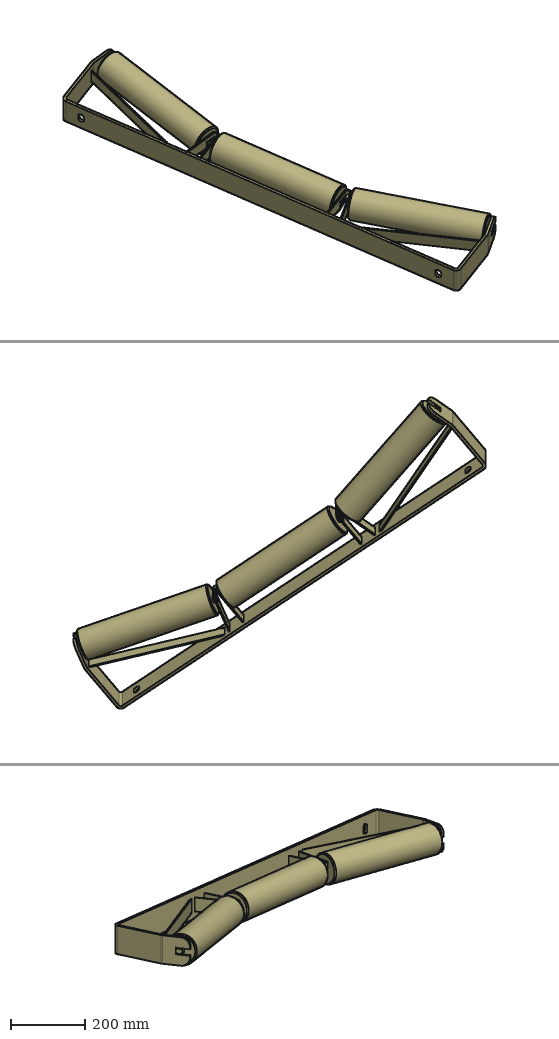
import cadquery as cq
import math



frame_length = 1240.0
strip_height = 80.0
frame_thickness = 8.0
frame_bend_radius = 10.0
tip_bend_y = 159.0
tip_length = 80.0
tip_corner_radius = 25.0
bolt_slot_x = 558.0
bolt_slot_width = 19.0
bolt_slot_height = 27.0

roller_diameter = 89.0
roller_length = 381.0
roller_edge_chamfer = 4.0
shaft_diameter = 20.0
shaft_flat_thickness = 14.0
shaft_shoulder = 2.0
centre_roller_y = 99.0
wing_roller_x = 409.0
wing_roller_y = 155.0
wing_angle = 15.0
wing_tilt = 1.0

brace_height = 40.0

bracket_thickness = 4.0
bracket_leg_x = 198.0
bracket_bend_radius = 9.0
bracket_bend_y = 115.0

strut_angle = 21.9
strut_foot_x = 245.0
strut_thickness = 4.0

shaft_slot_width = 19.0
shaft_slot_length = 75.0

half_length = frame_length / 2
wing_sin = math.sin(math.radians(wing_angle))
wing_cos = math.cos(math.radians(wing_angle))
wing_tan = wing_sin / wing_cos
wing_end_drop = roller_length / 2 * math.sin(math.radians(wing_tilt))
wing_roller_z = -wing_end_drop
centre_roller_z = -2 * wing_end_drop
centre_shaft_reach = bracket_leg_x + bracket_thickness / 2
outer_shaft_reach = (half_length - wing_roller_x) * wing_cos + (tip_bend_y - wing_roller_y) * wing_sin
bracket_bend_x = bracket_leg_x + bracket_bend_radius
inner_shaft_reach = (
    (wing_roller_x - bracket_bend_x) * wing_cos
    + (wing_roller_y - bracket_bend_y) * wing_sin
    - bracket_bend_radius + bracket_thickness / 2
)


def bent_strip(points, radius, thickness, height):
    """Strip of the given thickness along a bent centre line, centred on Z = 0."""
    path = cq.Wire.makePolygon([cq.Vector(x, y, 0) for x, y in points]).fillet(radius)
    start = cq.Vector(*points[0], 0)
    heading = cq.Vector(*points[1], 0) - start
    section_plane = cq.Plane(origin=start, xDir=(0, 0, 1), normal=heading)
    return cq.Workplane(section_plane).rect(height, thickness).sweep(cq.Workplane(path))


def inside_frame(body):
    """Trim a body to the space inside the back bar and the frame sides."""
    inner_length = frame_length - 2 * frame_thickness
    space = cq.Workplane().box(inner_length, half_length, 2 * strip_height)
    return body.intersect(space.translate((0, frame_thickness + half_length / 2, 0)))


def mirrored(body):
    """Copy of a left-hand body on the right-hand side."""
    return body.mirror("YZ")


def place_on_wing(body):
    """Move a body lying along X at the origin onto the axis of the left wing roller."""
    body = body.rotate((0, 0, 0), (0, 1, 0), wing_tilt)
    body = body.rotate((0, 0, 0), (0, 0, 1), -wing_angle)
    return body.translate((-wing_roller_x, wing_roller_y, wing_roller_z))


def place_on_centre(body):
    """Move a body lying along X at the origin onto the axis of the centre roller."""
    return body.translate((0, centre_roller_y, centre_roller_z))


def roller(left_reach, right_reach):
    """Roller along X with a flatted shaft that reaches past both of its ends."""
    barrel = cq.Workplane("YZ").circle(roller_diameter / 2).extrude(roller_length)
    barrel = barrel.edges("%CIRCLE").chamfer(roller_edge_chamfer).translate((-roller_length / 2, 0, 0))

    round_length = roller_length + 2 * shaft_shoulder
    round_shaft = cq.Workplane("YZ").circle(shaft_diameter / 2).extrude(round_length)
    round_shaft = round_shaft.translate((-round_length / 2, 0, 0))

    flatted_length = left_reach + right_reach
    flatted_shaft = cq.Workplane("YZ").circle(shaft_diameter / 2).extrude(flatted_length)
    flats = cq.Workplane("YZ").rect(shaft_diameter, shaft_flat_thickness).extrude(flatted_length)
    flatted_shaft = flatted_shaft.intersect(flats).translate((-left_reach, 0, 0))
    return barrel.union(round_shaft).union(flatted_shaft)


def shaft_slot(start, end):
    """Cutter along X whose floor carries the shaft, open toward +Y."""
    size = (end - start, shaft_slot_length, shaft_slot_width)
    cutter = cq.Workplane().box(*size, centered=(False, False, True))
    return cutter.translate((start, -shaft_diameter / 2, 0))


past_bend = 2 * bracket_bend_radius - bracket_thickness
outer_slot = place_on_wing(shaft_slot(-outer_shaft_reach - frame_thickness, -roller_length / 2))
inner_slot = place_on_wing(shaft_slot(roller_length / 2, inner_shaft_reach + past_bend))
centre_slot = place_on_centre(shaft_slot(-centre_shaft_reach - past_bend, -roller_length / 2))


def make_frame():
    """Bent frame, running from the left tip along the back bar to the right tip."""
    mid_x = half_length - frame_thickness / 2
    mid_y = frame_thickness / 2
    tip_x = mid_x - tip_length * wing_sin
    tip_y = tip_bend_y + tip_length * wing_cos
    left_side = [(-tip_x, tip_y), (-mid_x, tip_bend_y), (-mid_x, mid_y)]
    right_side = [(-x, y) for x, y in reversed(left_side)]
    frame = bent_strip(left_side + right_side, frame_bend_radius, frame_thickness, strip_height)

    tip_region = cq.selectors.BoxSelector(
        (-half_length, tip_y - frame_thickness, -strip_height),
        (half_length, tip_y + frame_thickness, strip_height),
    )
    frame = frame.faces(tip_region).edges("#Z").fillet(tip_corner_radius)

    bolt_slots = (
        cq.Workplane("XZ")
        .pushPoints([(-bolt_slot_x, 0), (bolt_slot_x, 0)])
        .slot2D(bolt_slot_height, bolt_slot_width, 90)
        .extrude(-frame_thickness)
    )
    return frame.cut(bolt_slots).cut(outer_slot).cut(mirrored(outer_slot))


def make_bracket():
    """Left inner bracket: one leg square to the centre roller, the other to the wing roller.

    Both feet start inside the back bar and are trimmed flush with its face.
    """
    slanted_x = bracket_bend_x + bracket_bend_radius / wing_cos + bracket_bend_y * wing_tan
    peak_y = (slanted_x - bracket_leg_x) / wing_tan
    foot_y = -frame_thickness
    points = [
        (-slanted_x + foot_y * wing_tan, foot_y),
        (-bracket_leg_x, peak_y),
        (-bracket_leg_x, foot_y),
    ]
    bracket = inside_frame(bent_strip(points, bracket_bend_radius, bracket_thickness, brace_height))
    return bracket.cut(inner_slot).cut(centre_slot)


def make_strut():
    """Left diagonal strut from the back bar to the frame side."""
    strut = cq.Workplane().box(frame_length, strut_thickness, brace_height)
    strut = strut.rotate((0, 0, 0), (0, 0, 1), -strut_angle)
    return inside_frame(strut.translate((-strut_foot_x, 0, 0)))


frame = make_frame()
centre_roller = place_on_centre(roller(centre_shaft_reach, centre_shaft_reach))
wing_roller = place_on_wing(roller(outer_shaft_reach, inner_shaft_reach))

bodies = [frame.val(), centre_roller.val()]
for left_body in (wing_roller, make_bracket(), make_strut()):
    bodies += [left_body.val(), mirrored(left_body).val()]

result = cq.Compound.makeCompound(bodies)